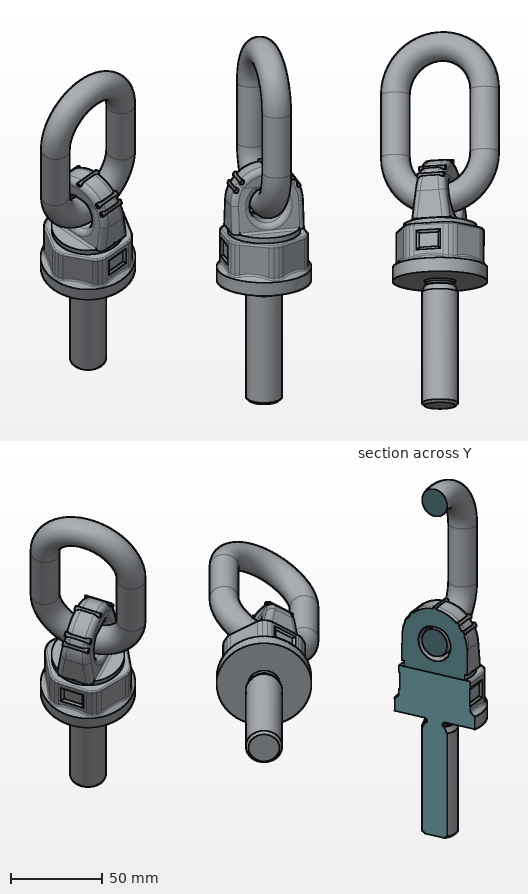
import cadquery as cq
import math


flange_radius = 26.0
flange_height = 7.7
hex_sides = 6
hex_across_flats = 45.2
hex_corner_radius = 24.6
hex_top = 28.4
hex_edge_blend = 6.0
hex_top_fillet = 1.0
skirt_height = 3.0
skirt_top_radius = 22.5
skirt_blend = 1.5

stud_radius = 10.0
stud_tip = -69.7
stud_chamfer = 1.5
neck_root_radius = 8.7
undercut_radius = 7.8
undercut_top = -1.0
undercut_bottom = -2.2
shoulder_radius = 8.6
shoulder_bottom = -2.8
thread_start = -6.2

plate_width = 13.6
plate_height = 10.9
plate_depth = 1.0
plate_wall_angle = 56.0
plate_center_z = 18.9

disc_radius = 20.0
disc_top = 31.5
eye_radius = 20.6
eye_center_z = 47.1
eye_crown_thickness = 15.0
eye_base_thickness = 21.6
eye_taper_top = 57.3
eye_edge_fillet = 3.5
eye_base_fillet = 1.4
hole_radius = 9.9
hole_center_z = 45.8
hole_edge_fillet = 3.4
wear_rib_angles = (27, 43, 90, 137, 153)
wear_rib_radius = 19.8
wear_rib_length = 2.8
wear_rib_width = 1.8

pick_margin = 1.0

link_wire_radius = 8.0
link_width = 67.0
link_straight = 35.0
link_bend_radius = link_width / 2 - link_wire_radius
link_lower_bend_z = hole_center_z + link_bend_radius
link_upper_bend_z = link_lower_bend_z + link_straight


def make_hex_prism():
    height = hex_top - flange_height
    half_side_angle = 360 / hex_sides / 2
    corner_diameter = hex_across_flats / math.cos(math.radians(half_side_angle))
    prism = (
        cq.Workplane("XY")
        .workplane(offset=flange_height)
        .polygon(hex_sides, corner_diameter)
        .extrude(height)
        .rotate((0, 0, 0), (0, 0, 1), half_side_angle)
    )
    rounding = cq.Workplane("XY").workplane(offset=flange_height).circle(hex_corner_radius).extrude(height)
    prism = prism.intersect(rounding)
    prism = prism.edges("|Z").fillet(hex_edge_blend)
    return prism.faces(">Z").edges().fillet(hex_top_fillet)


def make_flange_and_skirt():
    skirt_top = flange_height + skirt_height
    return (
        cq.Workplane("XZ")
        .lineTo(flange_radius, 0)
        .lineTo(flange_radius, flange_height)
        .lineTo(skirt_top_radius, skirt_top)
        .lineTo(0, skirt_top)
        .close()
        .revolve(360, (0, 0), (0, 1))
    )


def make_stud():
    return (
        cq.Workplane("XZ")
        .lineTo(neck_root_radius, 0)
        .lineTo(undercut_radius, undercut_top)
        .lineTo(undercut_radius, undercut_bottom)
        .lineTo(shoulder_radius, shoulder_bottom)
        .lineTo(stud_radius, thread_start)
        .lineTo(stud_radius, stud_tip + stud_chamfer)
        .lineTo(stud_radius - stud_chamfer, stud_tip)
        .lineTo(0, stud_tip)
        .close()
        .revolve(360, (0, 0), (0, 1))
    )


def make_plate_recess():
    """Tapered pocket in the flat on the -X side."""
    face = cq.Plane(origin=(-hex_across_flats / 2, 0, plate_center_z), xDir=(0, 1, 0), normal=(1, 0, 0))
    return cq.Workplane(face).rect(plate_width, plate_height).extrude(plate_depth, taper=plate_wall_angle)


def make_hex_stud():
    body = make_hex_prism().union(make_flange_and_skirt())
    skirt_edges = cq.selectors.BoxSelector(
        (-flange_radius, -flange_radius, flange_height + pick_margin),
        (flange_radius, flange_radius, flange_height + skirt_height),
    )
    body = body.edges(skirt_edges).fillet(skirt_blend)
    body = body.union(make_stud())
    recess = make_plate_recess()
    return body.cut(recess).cut(recess.mirror("YZ"))


def make_eye_cheek():
    """Arched plate with tapered faces and rounded edges."""
    arch = (
        cq.Workplane("XZ")
        .moveTo(-eye_radius, disc_top)
        .lineTo(-eye_radius, eye_center_z)
        .threePointArc((0, eye_center_z + eye_radius), (eye_radius, eye_center_z))
        .lineTo(eye_radius, disc_top)
        .close()
        .extrude(eye_base_thickness / 2, both=True)
    )
    half_crown = eye_crown_thickness / 2
    half_base = eye_base_thickness / 2
    eye_top = eye_center_z + eye_radius
    side_profile = (
        cq.Workplane("YZ")
        .polyline([
            (-half_base, disc_top),
            (-half_crown, eye_taper_top),
            (-half_crown, eye_top),
            (half_crown, eye_top),
            (half_crown, eye_taper_top),
            (half_base, disc_top),
        ])
        .close()
        .extrude(eye_radius, both=True)
    )
    cheek = arch.intersect(side_profile)
    rim = cq.selectors.BoxSelector(
        (-2 * eye_radius, -eye_base_thickness, disc_top + pick_margin),
        (2 * eye_radius, eye_base_thickness, 2 * eye_top),
    )
    taper_breaks = cq.selectors.BoxSelector(
        (-pick_margin, -eye_base_thickness, eye_taper_top - pick_margin),
        (pick_margin, eye_base_thickness, eye_taper_top + pick_margin),
    )
    side_breaks = cq.selectors.ParallelDirSelector(cq.Vector(0, 1, 0))
    return cheek.edges(rim - taper_breaks - side_breaks).fillet(eye_edge_fillet)


def cut_link_hole(cheek):
    hole = (
        cq.Workplane("XZ")
        .center(0, hole_center_z)
        .circle(hole_radius)
        .extrude(eye_base_thickness, both=True)
    )
    mouths = cq.selectors.BoxSelector(
        (-pick_margin, -eye_base_thickness, hole_center_z - pick_margin),
        (pick_margin, eye_base_thickness, hole_center_z + pick_margin),
    )
    return cheek.cut(hole).edges(mouths).fillet(hole_edge_fillet)


def make_wear_rib(angle):
    """Round-ended bar across the rim of the eye; angle is measured from +X towards +Z."""
    return (
        cq.Workplane("XZ")
        .center(
            wear_rib_radius * math.cos(math.radians(angle)),
            eye_center_z + wear_rib_radius * math.sin(math.radians(angle)),
        )
        .slot2D(wear_rib_length, wear_rib_width, angle + 90)
        .extrude(eye_crown_thickness / 2, both=True)
    )


def make_disc(top):
    return cq.Workplane("XY").workplane(offset=hex_top).circle(disc_radius).extrude(top - hex_top)


def make_base_flares():
    """Concave flares where the two tapered faces run into the disc."""
    half_base = eye_base_thickness / 2
    taper_slope = (half_base - eye_crown_thickness / 2) / (eye_taper_top - disc_top)
    flare_top = disc_top + eye_base_fillet
    inner_y = half_base - eye_base_fillet * taper_slope
    outer_y = half_base + eye_base_fillet
    arc_sag = 1 - math.cos(math.radians(45))
    middle_y = inner_y + (outer_y - inner_y) * arc_sag
    middle_z = disc_top + eye_base_fillet * arc_sag
    flares = (
        cq.Workplane("YZ")
        .moveTo(-outer_y, hex_top)
        .lineTo(-outer_y, disc_top)
        .threePointArc((-middle_y, middle_z), (-inner_y, flare_top))
        .lineTo(inner_y, flare_top)
        .threePointArc((middle_y, middle_z), (outer_y, disc_top))
        .lineTo(outer_y, hex_top)
        .close()
        .extrude(eye_radius - eye_edge_fillet, both=True)
    )
    return flares.intersect(make_disc(flare_top))


def make_eye():
    eye = cut_link_hole(make_eye_cheek())
    eye = eye.union(make_disc(disc_top)).union(make_base_flares())
    for angle in wear_rib_angles:
        eye = eye.union(make_wear_rib(angle))
    return eye


def make_link():
    path = (
        cq.Workplane("YZ")
        .moveTo(link_bend_radius, link_lower_bend_z)
        .lineTo(link_bend_radius, link_upper_bend_z)
        .threePointArc((0, link_upper_bend_z + link_bend_radius), (-link_bend_radius, link_upper_bend_z))
        .lineTo(-link_bend_radius, link_lower_bend_z)
        .threePointArc((0, link_lower_bend_z - link_bend_radius), (link_bend_radius, link_lower_bend_z))
        .close()
    )
    wire_section = (
        cq.Workplane("XY")
        .workplane(offset=link_lower_bend_z)
        .center(0, link_bend_radius)
        .circle(link_wire_radius)
    )
    return wire_section.sweep(path)


hex_stud = make_hex_stud()
eye = make_eye()
link = make_link()

result = cq.Compound.makeCompound([hex_stud.val(), eye.val(), link.val()])